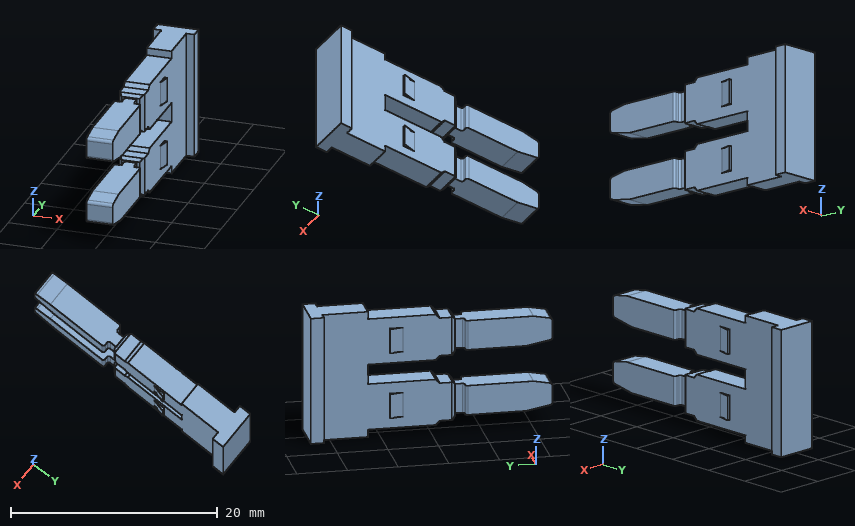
import cadquery as cq

LENGTH = 24.0
HEIGHT = 12.9
BACK_Y = LENGTH / 2

FLANGE_WIDTH = 4.2
FLANGE_DEPTH = 1.3
BODY_WIDTH = 2.55
PLATE_END = 5.8

ARM_PITCH = 6.7
ARM_HEIGHT = 4.7
SHOULDER_START = 12.48
SHOULDER_END = 12.9
NOSE_HEIGHT = 3.9
ARM_END = 14.47
NOSE_EDGE_BEVEL = 0.3
NOSE_SIDE_BEVEL_DEPTH = 0.35
NOSE_SIDE_BEVEL_LENGTH = 0.43

PIN_WIDTH = 2.7
PIN_HEIGHT = 3.02
NECK_WIDTH = 1.22
NECK_END = 15.43
NECK_FILLET = 0.22
UPPER_TAPER_START = 22.1
LOWER_TAPER_START = 21.43
UPPER_TAPER_DROP = 0.35
LOWER_TAPER_RISE = 0.48
TIP_FILLET = 0.34

BARB_START = 7.95
BARB_END = 9.25
BARB_HEIGHT = 2.47
BARB_PROJECTION = 0.3


def y_at(distance):
    """Y coordinate at a distance forward of the back face."""
    return BACK_Y - distance


def block(width, start, end, height):
    """Block centred in X and Z between two distances from the back face."""
    middle_y = y_at((start + end) / 2)
    return cq.Workplane("XY").box(width, end - start, height).translate((0, middle_y, 0))


def side_prism(points, width):
    """Extrude a (distance, Z) outline symmetrically across X."""
    outline = [(y_at(distance), z) for distance, z in points]
    return cq.Workplane("YZ").polyline(outline).close().extrude(width / 2, both=True)


def plan_prism(points, height):
    """Extrude an (X, distance) outline symmetrically across Z."""
    outline = [(x, y_at(distance)) for x, distance in points]
    return cq.Workplane("XY").polyline(outline).close().extrude(height / 2, both=True)


def make_arm():
    """Stepped arm with a nose bevelled on all four sides."""
    half_arm = ARM_HEIGHT / 2
    half_nose = NOSE_HEIGHT / 2
    half_tip = half_nose - NOSE_EDGE_BEVEL
    upper = [
        (PLATE_END, half_arm),
        (SHOULDER_START, half_arm),
        (SHOULDER_END, half_nose),
        (ARM_END - NOSE_EDGE_BEVEL, half_nose),
        (ARM_END, half_tip),
    ]
    lower = [(distance, -z) for distance, z in reversed(upper)]
    side_shape = side_prism(upper + lower, BODY_WIDTH)

    half_width = BODY_WIDTH / 2
    half_front = half_width - NOSE_SIDE_BEVEL_DEPTH
    bevel_start = ARM_END - NOSE_SIDE_BEVEL_LENGTH
    plan_shape = plan_prism(
        [
            (-half_width, PLATE_END),
            (half_width, PLATE_END),
            (half_width, bevel_start),
            (half_front, ARM_END),
            (-half_front, ARM_END),
            (-half_width, bevel_start),
        ],
        ARM_HEIGHT,
    )
    return side_shape.intersect(plan_shape)


def make_pin():
    """Necked pin with rounded shoulders and a tapered, rounded tip."""
    half_pin = PIN_WIDTH / 2
    half_neck = NECK_WIDTH / 2
    plan_shape = plan_prism(
        [
            (-half_neck, ARM_END),
            (half_neck, ARM_END),
            (half_neck, NECK_END),
            (half_pin, NECK_END),
            (half_pin, LENGTH),
            (-half_pin, LENGTH),
            (-half_pin, NECK_END),
            (-half_neck, NECK_END),
        ],
        PIN_HEIGHT,
    )
    shoulder_zone = cq.selectors.BoxSelector(
        (-PIN_WIDTH, y_at(NECK_END) - NECK_FILLET, -PIN_HEIGHT),
        (PIN_WIDTH, y_at(NECK_END) + NECK_FILLET, PIN_HEIGHT),
    )
    plan_shape = plan_shape.edges("|Z").edges(shoulder_zone).fillet(NECK_FILLET)

    half_height = PIN_HEIGHT / 2
    side_shape = side_prism(
        [
            (ARM_END, half_height),
            (UPPER_TAPER_START, half_height),
            (LENGTH, half_height - UPPER_TAPER_DROP),
            (LENGTH, LOWER_TAPER_RISE - half_height),
            (LOWER_TAPER_START, -half_height),
            (ARM_END, -half_height),
        ],
        PIN_WIDTH,
    )
    side_shape = side_shape.faces("<Y").edges("|X").fillet(TIP_FILLET)
    return plan_shape.intersect(side_shape)


def make_barbs():
    """Pair of barbs, thickest at the back and running out flush at the front."""
    half_width = BODY_WIDTH / 2
    half_barb = half_width + BARB_PROJECTION
    return plan_prism(
        [
            (-half_barb, BARB_START),
            (half_barb, BARB_START),
            (half_width, BARB_END),
            (-half_width, BARB_END),
        ],
        BARB_HEIGHT,
    )


flange = block(FLANGE_WIDTH, 0, FLANGE_DEPTH, HEIGHT)
plate = block(BODY_WIDTH, FLANGE_DEPTH, PLATE_END, HEIGHT)
prong = make_arm().union(make_barbs()).union(make_pin())

result = flange.union(plate)
for side in (-1, 1):
    result = result.union(prong.translate((0, 0, side * ARM_PITCH / 2)))